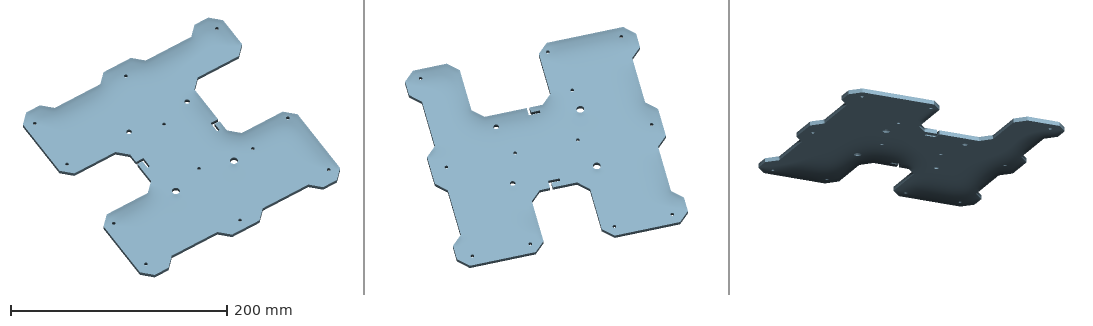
import cadquery as cq

side = 220.0
thickness = 4.0
half = side / 2
chamfer = 10.0

corner_tab_length = 35.0
middle_tab_length = 50.0

notch_floor = 45.0
back_notch_left = -57.9
back_notch_right = 17.4
front_notch_left = -27.5
front_notch_right = 28.0

slot_width = 2.6
slot_depth = 8.1
slot_length = 11.0
slot_left = -7.7

small_hole = 3.3
medium_hole = 5.0
large_hole = 7.3
row_y = 100.0
left_hole_x = -95.3
inner_hole_x = 40.0
cluster_y = 32.0
centre_hole_x = 30.0
small_hole_points = [
    (left_hole_x, row_y),
    (26.0, row_y),
    (96.0, row_y),
    (37.8, 54.1),
    (left_hole_x, 0),
    (-centre_hole_x, 0),
    (centre_hole_x, 0),
    (100.0, 0),
    (left_hole_x, -row_y),
    (-inner_hole_x, -row_y),
    (inner_hole_x, -row_y),
    (95.0, -row_y),
]


def prism(points):
    """Full-thickness solid over a closed outline."""
    return cq.Workplane("XY").polyline(points).close().extrude(thickness)


def edge_recess(x_sign, y_sign):
    """Tapered recess between a corner tab and a middle tab."""
    edge = x_sign * half
    floor = x_sign * (half - chamfer)
    start = middle_tab_length / 2
    narrow_start = start - chamfer
    end = half - corner_tab_length
    wide_end = end + chamfer
    return prism([
        (edge, y_sign * narrow_start),
        (floor, y_sign * start),
        (floor, y_sign * end),
        (edge, y_sign * wide_end),
    ])


def notch(left, right, y_sign):
    """Notch with a flared mouth and chamfered floor corners."""
    mouth = y_sign * half
    floor = y_sign * notch_floor
    flare_end = y_sign * (half - chamfer)
    wall_start = y_sign * (notch_floor + chamfer)
    return prism([
        (left - chamfer, mouth),
        (left, flare_end),
        (left, wall_start),
        (left + chamfer, floor),
        (right - chamfer, floor),
        (right, wall_start),
        (right, flare_end),
        (right + chamfer, mouth),
    ])


def l_slot(y_sign):
    """Slot entering from a notch floor, then turning toward +X."""
    opening = y_sign * notch_floor
    bend_inner = y_sign * (notch_floor - slot_depth + slot_width)
    bend_outer = y_sign * (notch_floor - slot_depth)
    return prism([
        (slot_left, opening),
        (slot_left, bend_outer),
        (slot_left + slot_length, bend_outer),
        (slot_left + slot_length, bend_inner),
        (slot_left + slot_width, bend_inner),
        (slot_left + slot_width, opening),
    ])


def drill(plate, points, diameter):
    """Through holes at the given points."""
    return plate.cut(cq.Workplane("XY").pushPoints(points).circle(diameter / 2).extrude(thickness))


result = cq.Workplane("XY").box(side, side, thickness, centered=(True, True, False))
result = result.edges("|Z").chamfer(chamfer)

for y_sign in (-1, 1):
    for x_sign in (-1, 1):
        result = result.cut(edge_recess(x_sign, y_sign))
    result = result.cut(l_slot(y_sign))
result = result.cut(notch(back_notch_left, back_notch_right, 1))
result = result.cut(notch(front_notch_left, front_notch_right, -1))

result = drill(result, small_hole_points, small_hole)
result = drill(result, [(-inner_hole_x, cluster_y), (-inner_hole_x, -cluster_y)], medium_hole)
result = drill(result, [(inner_hole_x, cluster_y), (inner_hole_x, -cluster_y)], large_hole)